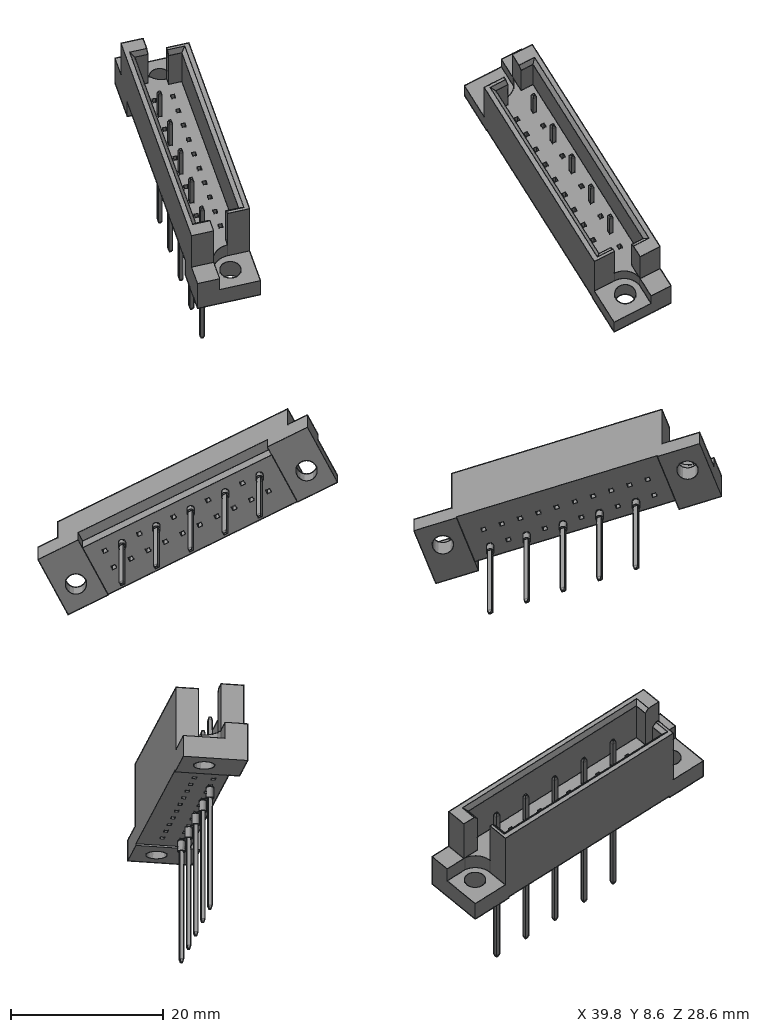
import cadquery as cq

length = 39.8
width = 8.6
height = 11.62

base_height = 5.15
front_wall_length = 34.0
rear_wall_length = 29.3
slot_width = 2.55

wall_thickness = 1.25
front_cavity_length = rear_wall_length
rear_cavity_length = 27.4
lead_in = 0.55

ear_height = 2.9
ear_hole_diameter = 2.8
ear_hole_spacing = 34.05
ear_hole_y = 1.0
ear_corner_radius = 2.6

foot_spacing = 27.95
standoff = 0.25
notch_height = 3.0
notch_depth = 1.3

columns = 10
column_span = 22.85
column_pitch = column_span / (columns - 1)
row_y = slot_width / 2
grid_center_x = -0.15
contact_width = 0.6
contact_depth = 0.5

pin_bottom = -17.0
pin_recess = 1.8
pin_top = height - pin_recess
tip_length = 0.45
tip_width = 0.3
tip_depth = 0.25
collar_diameter = 1.0
collar_length = 1.47


def box_between(x_limits, y_limits, z_limits):
    """Axis-aligned box given by its lower and upper limits."""
    x0, x1 = x_limits
    y0, y1 = y_limits
    z0, z1 = z_limits
    return cq.Workplane("XY").box(x1 - x0, y1 - y0, z1 - z0, centered=False).translate((x0, y0, z0))


def centered_span(size):
    return (-size / 2, size / 2)


def column_x(column):
    return grid_center_x + (column - (columns - 1) / 2) * column_pitch


def make_blank():
    """Base block with the two shroud halves, still solid inside."""
    base = box_between(centered_span(length), centered_span(width), (0, base_height))
    front_half = box_between(
        centered_span(front_wall_length), (-width / 2, -slot_width / 2), (base_height, height)
    )
    rear_half = box_between(
        centered_span(rear_wall_length), (slot_width / 2, width / 2), (base_height, height)
    )
    return base.union(front_half).union(rear_half)


def make_cavity(cavity_length, side):
    """Half of the cavity with its flared mouth; side is -1 for the front and +1 for the rear."""
    reach = width / 2 - wall_thickness
    straight = cq.Workplane("XY", origin=(0, 0, base_height)).rect(cavity_length, 2 * reach)
    straight = straight.extrude(height - base_height)
    mouth = (
        cq.Workplane("XY", origin=(0, 0, height - lead_in))
        .rect(cavity_length, 2 * reach)
        .workplane(offset=lead_in)
        .rect(cavity_length + 2 * lead_in, 2 * (reach + lead_in))
        .loft(ruled=True)
    )
    half_space = box_between(
        centered_span(length), sorted((0, side * width / 2)), (base_height, height)
    )
    return straight.union(mouth).intersect(half_space)


def make_ear_pocket(side):
    """Space above one mounting ear, with a large round in its inner front corner."""
    inner_x = rear_wall_length / 2
    front_y = -slot_width / 2
    round_start_y = slot_width / 2
    round_center_x = inner_x + ear_corner_radius
    pocket_z = (ear_height, base_height)
    outer_part = box_between((round_center_x, length / 2), (front_y, width / 2), pocket_z)
    beside_wall = box_between((inner_x, round_center_x), (round_start_y, width / 2), pocket_z)
    round_corner = (
        cq.Workplane("XY", origin=(round_center_x, round_start_y, ear_height))
        .circle(ear_corner_radius)
        .extrude(base_height - ear_height)
        .intersect(box_between((inner_x, length / 2), (front_y, width / 2), pocket_z))
    )
    pocket = outer_part.union(beside_wall).union(round_corner)
    return pocket if side > 0 else pocket.mirror("YZ")


def make_housing():
    housing = make_blank()
    housing = housing.cut(make_cavity(front_cavity_length, -1))
    housing = housing.cut(make_cavity(rear_cavity_length, 1))

    for side in (-1, 1):
        housing = housing.cut(make_ear_pocket(side))
        ear_hole = (
            cq.Workplane("XY")
            .center(side * ear_hole_spacing / 2, ear_hole_y)
            .circle(ear_hole_diameter / 2)
            .extrude(base_height)
        )
        housing = housing.cut(ear_hole)

    between_feet = centered_span(foot_spacing)
    housing = housing.cut(box_between(between_feet, centered_span(width), (0, standoff)))
    housing = housing.cut(
        box_between(between_feet, (-width / 2, -width / 2 + notch_depth), (0, notch_height))
    )

    contact_places = [(column_x(column), y) for column in range(columns) for y in (-row_y, row_y)]
    contact_holes = (
        cq.Workplane("XY").pushPoints(contact_places).rect(contact_width, contact_depth).extrude(base_height)
    )
    return housing.cut(contact_holes)


def make_tip(z, direction):
    """Tapered pin end starting at z; direction is +1 upward and -1 downward."""
    return (
        cq.Workplane("XY", origin=(0, 0, z))
        .rect(contact_width, contact_depth)
        .workplane(offset=direction * tip_length)
        .rect(tip_width, tip_depth)
        .loft(ruled=True)
    )


def make_pin(x):
    """Rectangular pin with tapered ends and a round collar just below the housing."""
    shank_bottom = pin_bottom + tip_length
    shank_top = pin_top - tip_length
    shank = box_between(
        centered_span(contact_width), centered_span(contact_depth), (shank_bottom, shank_top)
    )
    collar = cq.Workplane("XY").circle(collar_diameter / 2).extrude(-collar_length)
    pin = shank.union(make_tip(shank_top, 1)).union(make_tip(shank_bottom, -1)).union(collar)
    return pin.translate((x, -row_y, 0))


housing = make_housing()

pins = [make_pin(column_x(column)) for column in range(1, columns, 2)]

result = cq.Compound.makeCompound([housing.val(), *[pin.val() for pin in pins]])